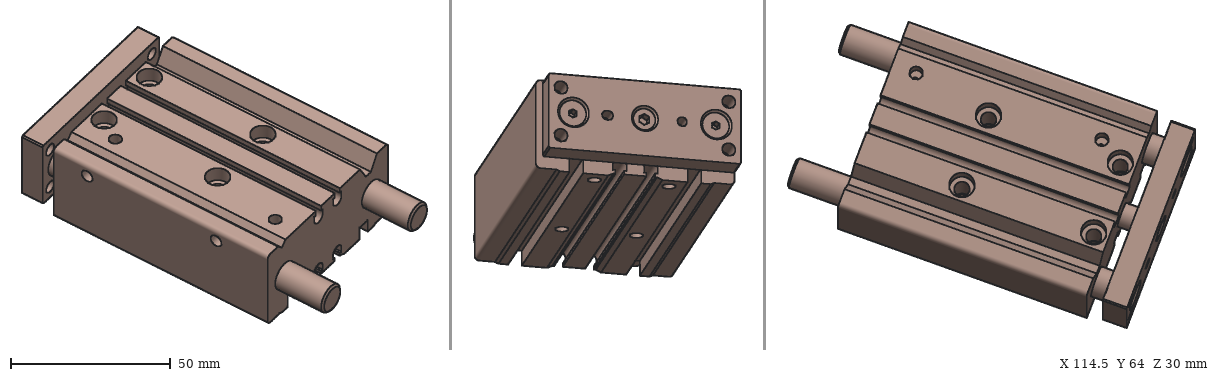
import cadquery as cq
import math

PLATE_THICKNESS = 8.0
PLATE_WIDTH = 62.0
PLATE_HEIGHT = 25.0
PLATE_EDGE_CHAMFER = 0.5

BODY_START = 13.0
BODY_LENGTH = 83.0
BODY_END = BODY_START + BODY_LENGTH
BODY_WIDTH = 64.0
BODY_HEIGHT = 30.0
BODY_TOP = BODY_HEIGHT / 2
BODY_BOTTOM = -BODY_HEIGHT / 2
BODY_SIDE = BODY_WIDTH / 2
BODY_EDGE_RADIUS = 1.5

GUIDE_OFFSET = 23.0
GUIDE_DIAMETER = 10.0
GUIDE_END = 114.5
GUIDE_END_CHAMFER = 0.7
PISTON_ROD_DIAMETER = 8.0
PISTON_ROD_INSERTION = 40.0
PISTON_ROD_END = BODY_START + PISTON_ROD_INSERTION

SEAT_DEPTH = 0.8
SEAT_TAPER = 0.7
GUIDE_SEAT_DIAMETER = 10.0
GUIDE_SOCKET_FLATS = 2.4
PISTON_SEAT_DIAMETER = 8.5
PISTON_SOCKET_FLATS = 3.2
HEX_SIDES = 6
SOCKET_DEPTH = 4.0
CORNER_HOLE_DIAMETER = 4.2
CORNER_HOLE_Y = 27.0
CORNER_HOLE_Z = 8.0
LOCATING_DIAMETER = 3.0
LOCATING_Y = 12.0
LOCATING_SLOT_LENGTH = 3.5
LOCATING_DEPTH = 6.0

DOVETAIL_OUTER_Y = 26.0
DOVETAIL_INNER_Y = 17.0
DOVETAIL_DEPTH = 5.5
DOVETAIL_FLANK_ANGLE = 30.0

V_GROOVE_Y = -24.5
V_GROOVE_DEPTH = 2.0

SENSOR_Y = 5.0
SENSOR_NECK_WIDTH = 2.8
SENSOR_NECK_DEPTH = 2.0
SENSOR_BORE_DIAMETER = 4.4
SENSOR_DEPTH = 6.0

MIDDLE_RELIEF_DEPTH = 0.8
MIDDLE_RELIEF_WIDTH = 14.0
MIDDLE_RELIEF_MOUTH = 17.4
SIDE_RELIEF_DEPTH = 0.5
SIDE_RELIEF_FOOT = 24.3
SIDE_RELIEF_ROOT = 25.4
MOUNTING_SLOT_Y = 19.0
MOUNTING_SLOT_WIDTH = 4.4
MOUNTING_SLOT_DEPTH = 5.0

MOUNTING_X = (18.0, 62.0)
MOUNTING_Y = 12.0
COUNTERBORE_DIAMETER = 8.0
COUNTERBORE_DEPTH = 5.2
CLEARANCE_DIAMETER = 4.8
THREAD_DIAMETER = 4.2
THREAD_LENGTH = 10.0

PORT_DIAMETER = 4.2
PORT_DEPTH = 5.0
CHANNEL_DIAMETER = 1.5
CHANNEL_LENGTH = 4.0
TOP_PORT_X = (26.0, 88.0)
TOP_PORT_Y = -17.0
TOP_CHANNEL_Y = -16.05
SIDE_PORT_X = (26.0, 76.0)
SIDE_PORT_Z = 10.5
SIDE_CHANNEL_Z = 9.25


def section(x):
    """Work plane across the part at x, with local axes Y and Z."""
    return cq.Workplane("YZ", origin=(x, 0, 0))


def rod(diameter, y, start, end):
    """Cylinder along X between two stations."""
    return section(start).center(y, 0).circle(diameter / 2).extrude(end - start)


def along_body(outline):
    """Extrude a closed outline, drawn at the body's front face, over the body's length."""
    return outline.close().extrude(BODY_LENGTH)


def hole_down(diameter, x, y, top, depth):
    """Vertical cylinder reaching down from a height."""
    return cq.Workplane("XY", origin=(x, y, top)).circle(diameter / 2).extrude(-depth)


def hole_inward(diameter, x, z, y, depth):
    """Cylinder reaching toward +Y from a station y."""
    return cq.Workplane("XZ", origin=(x, y, z)).circle(diameter / 2).extrude(-depth)


def dovetail_groove():
    run = DOVETAIL_DEPTH * math.tan(math.radians(DOVETAIL_FLANK_ANGLE))
    floor = BODY_TOP - DOVETAIL_DEPTH
    return along_body(
        section(BODY_START)
        .moveTo(DOVETAIL_OUTER_Y, BODY_TOP)
        .lineTo(DOVETAIL_OUTER_Y - run, floor)
        .lineTo(DOVETAIL_INNER_Y + run, floor)
        .lineTo(DOVETAIL_INNER_Y, BODY_TOP)
    )


def v_groove():
    return along_body(
        section(BODY_START)
        .moveTo(V_GROOVE_Y - V_GROOVE_DEPTH, BODY_TOP)
        .lineTo(V_GROOVE_Y, BODY_TOP - V_GROOVE_DEPTH)
        .lineTo(V_GROOVE_Y + V_GROOVE_DEPTH, BODY_TOP)
    )


def sensor_groove(y, side):
    """Narrow neck opening into a round-bottomed channel; side is +1 for the top, -1 for the bottom."""
    neck = SENSOR_NECK_WIDTH / 2
    radius = SENSOR_BORE_DIAMETER / 2
    ceiling = BODY_TOP - SENSOR_NECK_DEPTH
    bottom = BODY_TOP - SENSOR_DEPTH
    return along_body(
        section(BODY_START)
        .moveTo(y - neck, side * BODY_TOP)
        .lineTo(y - neck, side * ceiling)
        .lineTo(y - radius, side * ceiling)
        .lineTo(y - radius, side * (bottom + radius))
        .threePointArc((y, side * bottom), (y + radius, side * (bottom + radius)))
        .lineTo(y + radius, side * ceiling)
        .lineTo(y + neck, side * ceiling)
        .lineTo(y + neck, side * BODY_TOP)
    )


def middle_relief():
    """Shallow bevelled recess along the middle of the bottom face."""
    return along_body(
        section(BODY_START)
        .moveTo(-MIDDLE_RELIEF_MOUTH / 2, BODY_BOTTOM)
        .lineTo(-MIDDLE_RELIEF_WIDTH / 2, BODY_BOTTOM + MIDDLE_RELIEF_DEPTH)
        .lineTo(MIDDLE_RELIEF_WIDTH / 2, BODY_BOTTOM + MIDDLE_RELIEF_DEPTH)
        .lineTo(MIDDLE_RELIEF_MOUTH / 2, BODY_BOTTOM)
    )


def body_blank():
    """Outer outline with the bottom stepped up a little along both sides."""
    shoulder = BODY_BOTTOM + SIDE_RELIEF_DEPTH
    blank = along_body(
        section(BODY_START)
        .moveTo(-BODY_SIDE, BODY_TOP)
        .lineTo(BODY_SIDE, BODY_TOP)
        .lineTo(BODY_SIDE, shoulder)
        .lineTo(SIDE_RELIEF_ROOT, shoulder)
        .lineTo(SIDE_RELIEF_FOOT, BODY_BOTTOM)
        .lineTo(-SIDE_RELIEF_FOOT, BODY_BOTTOM)
        .lineTo(-SIDE_RELIEF_ROOT, shoulder)
        .lineTo(-BODY_SIDE, shoulder)
    )
    outer_edges = blank.edges("|X").edges("<Y or >Y")
    return outer_edges.fillet(BODY_EDGE_RADIUS)


def mounting_slot(y):
    return (
        section(BODY_START)
        .center(y, BODY_BOTTOM + MOUNTING_SLOT_DEPTH / 2)
        .rect(MOUNTING_SLOT_WIDTH, MOUNTING_SLOT_DEPTH)
        .extrude(BODY_LENGTH)
    )


def mounting_hole(x, y):
    """Counterbored clearance hole that narrows to a thread at the bottom."""
    counterbore = hole_down(COUNTERBORE_DIAMETER, x, y, BODY_TOP, COUNTERBORE_DEPTH)
    clearance = hole_down(CLEARANCE_DIAMETER, x, y, BODY_TOP, BODY_HEIGHT - THREAD_LENGTH)
    thread = hole_down(THREAD_DIAMETER, x, y, BODY_TOP, BODY_HEIGHT)
    return counterbore.union(clearance).union(thread)


def top_port(x):
    port = hole_down(PORT_DIAMETER, x, TOP_PORT_Y, BODY_TOP, PORT_DEPTH)
    channel = hole_down(CHANNEL_DIAMETER, x, TOP_CHANNEL_Y, BODY_TOP, PORT_DEPTH + CHANNEL_LENGTH)
    return port.union(channel)


def side_port(x):
    port = hole_inward(PORT_DIAMETER, x, SIDE_PORT_Z, -BODY_SIDE, PORT_DEPTH)
    channel = hole_inward(CHANNEL_DIAMETER, x, SIDE_CHANNEL_Z, -BODY_SIDE, PORT_DEPTH + CHANNEL_LENGTH)
    return port.union(channel)


def build_body():
    body = body_blank().cut(middle_relief()).cut(dovetail_groove()).cut(v_groove())
    for hand in (-1, 1):
        body = body.cut(sensor_groove(hand * SENSOR_Y, 1))
        body = body.cut(sensor_groove(hand * SENSOR_Y, -1))
        body = body.cut(mounting_slot(hand * MOUNTING_SLOT_Y))
        body = body.cut(rod(GUIDE_DIAMETER, hand * GUIDE_OFFSET, BODY_START, BODY_END))
        for x in MOUNTING_X:
            body = body.cut(mounting_hole(x, hand * MOUNTING_Y))
    for x in TOP_PORT_X:
        body = body.cut(top_port(x))
    for x in SIDE_PORT_X:
        body = body.cut(side_port(x))
    return body.cut(rod(PISTON_ROD_DIAMETER, 0, BODY_START, PISTON_ROD_END))


def hex_socket(flats, y):
    """Blind hexagonal hole with two of its corners pointing along Z."""
    across_corners = flats / math.cos(math.pi / HEX_SIDES)
    corner_up = section(0).transformed(rotate=(0, 0, 90))
    socket = corner_up.polygon(HEX_SIDES, across_corners).extrude(SOCKET_DEPTH)
    return socket.translate((0, y, 0))


def rod_seat(diameter, socket_flats, y):
    """Shallow conical recess in the plate face with a hexagonal socket at its centre."""
    recess = section(0).center(y, 0).circle(diameter / 2).workplane(offset=SEAT_DEPTH)
    recess = recess.circle(diameter / 2 - SEAT_TAPER).loft()
    return recess.union(hex_socket(socket_flats, y))


def build_plate_and_rods():
    plate = (
        section(0)
        .rect(PLATE_WIDTH, PLATE_HEIGHT)
        .extrude(PLATE_THICKNESS)
        .edges("|X")
        .chamfer(PLATE_EDGE_CHAMFER)
    )
    corner_holes = (
        section(0)
        .rect(2 * CORNER_HOLE_Y, 2 * CORNER_HOLE_Z, forConstruction=True)
        .vertices()
        .circle(CORNER_HOLE_DIAMETER / 2)
        .extrude(PLATE_THICKNESS)
    )
    locating_slot = (
        section(0)
        .center(LOCATING_Y, 0)
        .slot2D(LOCATING_SLOT_LENGTH, LOCATING_DIAMETER)
        .extrude(LOCATING_DEPTH)
    )
    plate = plate.cut(corner_holes).cut(locating_slot)
    plate = plate.cut(rod(LOCATING_DIAMETER, -LOCATING_Y, 0, LOCATING_DEPTH))

    plate = plate.union(rod(PISTON_ROD_DIAMETER, 0, PLATE_THICKNESS, PISTON_ROD_END))
    plate = plate.cut(rod_seat(PISTON_SEAT_DIAMETER, PISTON_SOCKET_FLATS, 0))
    for y in (-GUIDE_OFFSET, GUIDE_OFFSET):
        guide = rod(GUIDE_DIAMETER, y, PLATE_THICKNESS, GUIDE_END)
        guide = guide.faces(">X").chamfer(GUIDE_END_CHAMFER)
        plate = plate.union(guide)
        plate = plate.cut(rod_seat(GUIDE_SEAT_DIAMETER, GUIDE_SOCKET_FLATS, y))
    return plate


body = build_body()
plate_and_rods = build_plate_and_rods()

result = cq.Compound.makeCompound([body.val(), plate_and_rods.val()])